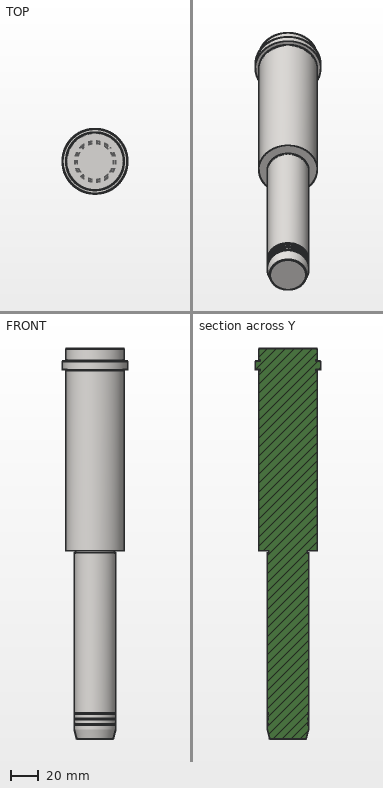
import cadquery as cq

total_length = 280.0
body_bottom = 135.0
flange_bottom = 265.0
flange_top = 271.0

body_radius = 21.0
flange_radius = 23.5
pin_diameter = 30.0
pin_radius = pin_diameter / 2
tip_radius = 13.2

taper_length = 7.0
tip_chamfer = 0.42
top_chamfer = 0.5
flange_chamfer = 0.5

gap_depth = 0.8
gap_width = 0.7

neck_depth = 0.8
neck_length = 1.5

groove_count = 3
first_groove_bottom = 10.0
groove_pitch = 4.0
groove_width = 0.95
groove_depth = 0.5


def cylinder(radius, bottom, top):
    return cq.Workplane("XY").workplane(offset=bottom).circle(radius).extrude(top - bottom)


def cut_groove(shaft, radius, depth, bottom, width):
    """Cut a square ring groove into a shaft of the given radius."""
    top = bottom + width
    ring = cylinder(radius, bottom, top).cut(cylinder(radius - depth, bottom, top))
    return shaft.cut(ring)


def make_pin():
    pin = (
        cq.Workplane("XZ")
        .lineTo(tip_radius, 0)
        .lineTo(pin_radius, taper_length)
        .lineTo(pin_radius, body_bottom)
        .lineTo(0, body_bottom)
        .close()
        .revolve(360, (0, 0, 0), (0, 1, 0))
    )
    pin = pin.faces("<Z").chamfer(tip_chamfer)
    pin = cut_groove(pin, pin_radius, neck_depth, body_bottom - neck_length, neck_length)
    for index in range(groove_count):
        bottom = first_groove_bottom + index * groove_pitch
        pin = cut_groove(pin, pin_radius, groove_depth, bottom, groove_width)
    return pin


def make_body():
    body = cylinder(body_radius, body_bottom, total_length).faces(">Z").chamfer(top_chamfer)
    for bottom in (flange_bottom - gap_width, flange_top):
        body = cut_groove(body, body_radius, gap_depth, bottom, gap_width)
    return body


def make_flange():
    return cylinder(flange_radius, flange_bottom, flange_top).faces(">Z").edges().chamfer(flange_chamfer)


result = make_pin().union(make_body()).union(make_flange())